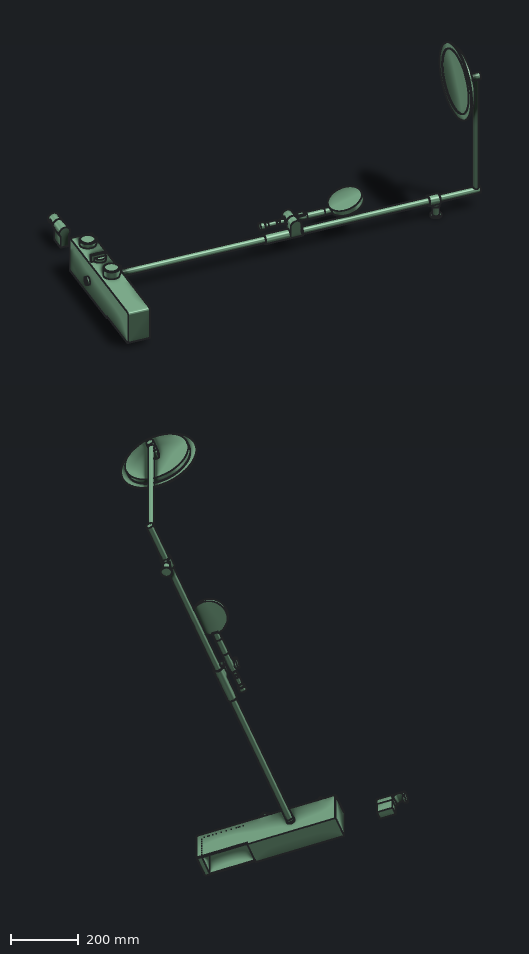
import cadquery as cq
import math


OVERALL_LENGTH = 1266.0

PIPE_DIA = 23.0
PIPE_END_Y = 1222.0
ARM_DIA = 18.0
ARM_Y = 1209.0
ELBOW_FRONT_Y = 1194.0

BRACKET_Y = 1074.0
BRACKET_LENGTH = 34.0
BRACKET_DIA = 33.0
POST_DIA = 20.0
POST_Y = 1081.0
FOOT_DIA = 34.0
FOOT_BOTTOM_Z = -57.0
FOOT_THICKNESS = 4.0
COLLAR_DIA = 23.0
COLLAR_BOTTOM_Z = -23.0

HEAD_Z = 401.0
HEAD_FLANGE_DIA = 238.0
HEAD_BODY_DIA = 200.0
HEAD_BACK_Y = 1163.0
HEAD_BODY_DEPTH = 16.0
HEAD_FLANGE_DEPTH = 4.0
HEAD_FACE_RECESS = 1.0
FLAT_WIDTH = 15.0
FLAT_END_Y = 1179.0

MIXER_LEFT_X = -142.0
MIXER_RIGHT_X = 300.0
MIXER_DEPTH = 72.0
MIXER_TOP_Z = 66.0
MIXER_BOTTOM_Z = -50.0
MIXER_CHAMFER = 3.0
MIXER_END_ROUND = 8.0
BAY_LEFT_X = 138.0
BAY_RIGHT_X = 282.0
BAY_TOP_Z = 50.0
BAY_WALL = 4.0
UNDERSIDE_LIFT = 6.0
OUTLET_END_Y = 50.0
OUTLET_FLANGE_DIA = 25.0
OUTLET_FLANGE_LENGTH = 5.0
INLET_DIA = 25.0
INLET_HOLE_DIA = 15.0

KNOB_X = 90.0
KNOB_DIA = 50.0
LEFT_KNOB_HEIGHT = 18.0
RIGHT_KNOB_HEIGHT = 27.0
KNOB_CHAMFER = 3.0
POINTER_TIP = 30.0
POINTER_BASE = 18.0
POINTER_HALF_WIDTH = 15.0
LEVER_HUB_DIA = 38.0
LEVER_HUB_HEIGHT = 11.0
LEVER_WIDTH = 8.0
LEVER_HEIGHT = 22.0
LEVER_BACK_Y = 18.0
LEVER_FRONT_Y = -29.0

BARREL_DIA = 35.0
CLIP_LENGTH = 38.0
CLIP_DIA = 34.0
CLIP_HOLE_DIA = 28.0
CLIP_HOLE_DROP = 8.0

SLEEVE_DIA = 30.0
SLEEVE_FRONT_Y = 529.0
SLEEVE_BACK_Y = 648.0
SLIDER_BARREL_Y = 625.0
SLIDER_BARREL_Z = 32.0

WALL_HOLDER_LEFT_X = -351.0
WALL_HOLDER_RIGHT_X = -263.0
WALL_HOLDER_Z = 1.0
WALL_BLOCK_WIDTH = 27.0

SPRAY_DIA = 106.0
SPRAY_THICKNESS = 20.0
SPRAY_TILT = 19.0
SPRAY_TOP_Y = 803.0
SPRAY_TOP_Z = 53.0
NECK_DIA = 22.0
NECK_BACK_Y = 765.0
HANDLE_DIA = 23.0
HANDLE_BACK_Y = 735.0
SPIGOT_FRONT_Y = 608.0
SPIGOT_DIA = 22.0
SPIGOT_BACK_Y = 679.0
BUTTON_FRONT_Y = 650.0
BUTTON_LENGTH = 23.0
BUTTON_WIDTH = 15.0
BUTTON_TOP_Z = 38.0
HOSE_TAIL_DIA = 15.0
HOSE_GROOVE_DIA = 10.0
HOSE_CONE_DIA = 16.0
GROOVE_BACK_Y = 592.0
GROOVE_FRONT_Y = 582.0
CONE_FRONT_Y = 556.0
NUT_BACK_Y = 544.0
NUT_DIA = 23.0


def cylinder_y(dia, y_start, y_end, x=0.0, z=0.0):
    """Cylinder along Y between two Y positions."""
    plane = cq.Plane(origin=(x, y_start, z), xDir=(1, 0, 0), normal=(0, 1, 0))
    return cq.Workplane(plane).circle(dia / 2).extrude(y_end - y_start)


def cylinder_x(dia, x_start, x_end, y, z):
    """Cylinder along X between two X positions."""
    return cq.Workplane("YZ", origin=(x_start, y, z)).circle(dia / 2).extrude(x_end - x_start)


def cylinder_z(dia, z_start, z_end, x=0.0, y=0.0):
    """Upright cylinder between two Z positions."""
    return cq.Workplane("XY", origin=(x, y, z_start)).circle(dia / 2).extrude(z_end - z_start)


def box(x_range, y_range, z_range):
    """Box given by its limits along each axis."""
    (x0, x1), (y0, y1), (z0, z1) = x_range, y_range, z_range
    return cq.Workplane("XY").box(x1 - x0, y1 - y0, z1 - z0, centered=False).translate((x0, y0, z0))


def mixer_block():
    """Block with a raised underside on the right and a bay open at the bottom behind thin walls."""
    half_depth = MIXER_DEPTH / 2
    block = box(
        (MIXER_LEFT_X, MIXER_RIGHT_X), (-half_depth, half_depth), (MIXER_BOTTOM_Z, MIXER_TOP_Z)
    )
    underside = box(
        (BAY_LEFT_X, MIXER_RIGHT_X),
        (-half_depth, half_depth),
        (MIXER_BOTTOM_Z, MIXER_BOTTOM_Z + UNDERSIDE_LIFT),
    )
    block = block.cut(underside).edges(">X and |Y").fillet(MIXER_END_ROUND)
    block = block.edges("(<X and (>Z or >Y)) or (>Y and >Z)").chamfer(MIXER_CHAMFER)

    bay_half_depth = half_depth - BAY_WALL
    bay = box(
        (BAY_LEFT_X, BAY_RIGHT_X), (-bay_half_depth, bay_half_depth), (MIXER_BOTTOM_Z, BAY_TOP_Z)
    )
    return block.cut(bay)


def knob(x, height):
    """Round knob with a pointer ridge toward the back."""
    top_z = MIXER_TOP_Z + height
    body = cylinder_z(KNOB_DIA, MIXER_TOP_Z, top_z, x).faces(">Z").chamfer(KNOB_CHAMFER)
    pointer = (
        cq.Workplane("XY", origin=(x, 0, MIXER_TOP_Z))
        .moveTo(-POINTER_HALF_WIDTH, POINTER_BASE)
        .lineTo(POINTER_HALF_WIDTH, POINTER_BASE)
        .lineTo(0, POINTER_TIP)
        .close()
        .extrude(height - KNOB_CHAMFER)
    )
    return body.union(pointer)


def lever():
    hub = cylinder_z(LEVER_HUB_DIA, MIXER_TOP_Z, MIXER_TOP_Z + LEVER_HUB_HEIGHT)
    bar = box(
        (-LEVER_WIDTH / 2, LEVER_WIDTH / 2),
        (LEVER_FRONT_Y, LEVER_BACK_Y),
        (MIXER_TOP_Z, MIXER_TOP_Z + LEVER_HEIGHT),
    )
    return hub.union(bar)


def make_mixer():
    back_y = MIXER_DEPTH / 2
    inlet_front_y = PIPE_END_Y - OVERALL_LENGTH
    mixer = mixer_block()
    mixer = mixer.union(knob(-KNOB_X, LEFT_KNOB_HEIGHT)).union(knob(KNOB_X, RIGHT_KNOB_HEIGHT))
    mixer = mixer.union(lever())
    mixer = mixer.union(cylinder_y(PIPE_DIA, back_y, OUTLET_END_Y))
    mixer = mixer.union(cylinder_y(OUTLET_FLANGE_DIA, back_y, back_y + OUTLET_FLANGE_LENGTH))
    mixer = mixer.union(cylinder_y(INLET_DIA, inlet_front_y, -back_y))
    return mixer.cut(cylinder_y(INLET_HOLE_DIA, inlet_front_y, -back_y))


def wall_bracket():
    half_length = BRACKET_LENGTH / 2
    bracket = cylinder_y(BRACKET_DIA, BRACKET_Y - half_length, BRACKET_Y + half_length)
    bracket = bracket.union(cylinder_z(POST_DIA, FOOT_BOTTOM_Z, 0, y=POST_Y))
    foot_top_z = FOOT_BOTTOM_Z + FOOT_THICKNESS
    bracket = bracket.union(cylinder_z(FOOT_DIA, FOOT_BOTTOM_Z, foot_top_z, y=POST_Y))
    return bracket.union(cylinder_z(COLLAR_DIA, COLLAR_BOTTOM_Z, 0, y=POST_Y))


def make_riser():
    pipe = cylinder_y(PIPE_DIA, OUTLET_END_Y, PIPE_END_Y)
    arm = cylinder_z(ARM_DIA, 0, HEAD_Z, y=ARM_Y)
    elbow = cylinder_y(PIPE_DIA, ELBOW_FRONT_Y, PIPE_END_Y, z=HEAD_Z)
    return pipe.union(arm).union(elbow).union(wall_bracket())


def make_overhead_shower():
    flange_back_y = HEAD_BACK_Y - HEAD_BODY_DEPTH
    face_y = flange_back_y - HEAD_FLANGE_DEPTH
    stem = cylinder_y(PIPE_DIA, HEAD_BACK_Y, ELBOW_FRONT_Y, z=HEAD_Z)
    half_flat = FLAT_WIDTH / 2
    flat_x = math.sqrt((PIPE_DIA / 2) ** 2 - half_flat**2)
    for x_range in [(-PIPE_DIA, -flat_x), (flat_x, PIPE_DIA)]:
        stem = stem.cut(
            box(x_range, (HEAD_BACK_Y, FLAT_END_Y), (HEAD_Z - half_flat, HEAD_Z + half_flat))
        )
    head = cylinder_y(HEAD_BODY_DIA, flange_back_y, HEAD_BACK_Y, z=HEAD_Z)
    head = head.union(cylinder_y(HEAD_FLANGE_DIA, face_y, flange_back_y, z=HEAD_Z)).union(stem)
    return head.cut(cylinder_y(HEAD_BODY_DIA, face_y, face_y + HEAD_FACE_RECESS, z=HEAD_Z))


def barrel_with_clip(left_x, right_x, y, z):
    """Barrel along X; its left end is a slimmer clip with a hole along Y that breaks out below."""
    clip_right_x = left_x + CLIP_LENGTH
    hole_x = left_x + CLIP_LENGTH / 2
    hole_z = z - CLIP_HOLE_DROP
    hole = cylinder_y(CLIP_HOLE_DIA, y - CLIP_DIA / 2, y + CLIP_DIA / 2, hole_x, hole_z)
    clip = cylinder_x(CLIP_DIA, left_x, clip_right_x, y, z).cut(hole)
    return clip.union(cylinder_x(BARREL_DIA, clip_right_x, right_x, y, z))


def make_slider():
    half_sleeve = SLEEVE_DIA / 2
    half_barrel = BARREL_DIA / 2
    saddle_y = (SLIDER_BARREL_Y - half_barrel, SLIDER_BARREL_Y + half_barrel)
    slider = barrel_with_clip(
        -half_sleeve - CLIP_LENGTH, half_sleeve, SLIDER_BARREL_Y, SLIDER_BARREL_Z
    )
    slider = slider.union(box((-half_sleeve, half_sleeve), saddle_y, (0, SLIDER_BARREL_Z)))
    slider = slider.union(cylinder_y(SLEEVE_DIA, SLEEVE_FRONT_Y, SLEEVE_BACK_Y))
    return slider.cut(cylinder_y(PIPE_DIA, SLEEVE_FRONT_Y, SLEEVE_BACK_Y))


def make_wall_holder():
    block_x = (WALL_HOLDER_LEFT_X + CLIP_LENGTH, WALL_HOLDER_RIGHT_X)
    half_width = WALL_BLOCK_WIDTH / 2
    holder = barrel_with_clip(WALL_HOLDER_LEFT_X, WALL_HOLDER_RIGHT_X, 0, WALL_HOLDER_Z)
    return holder.union(box(block_x, (-half_width, half_width), (MIXER_BOTTOM_Z, WALL_HOLDER_Z)))


def make_hand_shower():
    axis_x = -SLEEVE_DIA / 2 - CLIP_LENGTH / 2
    axis_z = SLIDER_BARREL_Z - CLIP_HOLE_DROP
    tilt = math.radians(SPRAY_TILT)
    spray_plane = cq.Plane(
        origin=(axis_x, SPRAY_TOP_Y, SPRAY_TOP_Z),
        xDir=(1, 0, 0),
        normal=(0, -math.sin(tilt), math.cos(tilt)),
    )
    hand_shower = cq.Workplane(spray_plane).circle(SPRAY_DIA / 2).extrude(-SPRAY_THICKNESS)

    sections = [
        (NECK_DIA, HANDLE_BACK_Y, NECK_BACK_Y),
        (HANDLE_DIA, SPIGOT_BACK_Y, HANDLE_BACK_Y),
        (SPIGOT_DIA, SPIGOT_FRONT_Y, SPIGOT_BACK_Y),
        (HOSE_TAIL_DIA, GROOVE_BACK_Y, SPIGOT_FRONT_Y),
        (HOSE_GROOVE_DIA, GROOVE_FRONT_Y, GROOVE_BACK_Y),
        (HOSE_CONE_DIA, CONE_FRONT_Y, GROOVE_FRONT_Y),
        (HOSE_TAIL_DIA, NUT_BACK_Y, CONE_FRONT_Y),
        (NUT_DIA, SLEEVE_FRONT_Y, NUT_BACK_Y),
    ]
    for dia, front_y, back_y in sections:
        hand_shower = hand_shower.union(cylinder_y(dia, front_y, back_y, axis_x, axis_z))

    button = box(
        (axis_x - BUTTON_WIDTH / 2, axis_x + BUTTON_WIDTH / 2),
        (BUTTON_FRONT_Y, BUTTON_FRONT_Y + BUTTON_LENGTH),
        (axis_z, BUTTON_TOP_Z),
    )
    return hand_shower.union(button)


mixer = make_mixer()
riser = make_riser()
overhead_shower = make_overhead_shower()
slider = make_slider()
hand_shower = make_hand_shower()
wall_holder = make_wall_holder()

result = cq.Compound.makeCompound(
    [
        mixer.val(),
        riser.val(),
        overhead_shower.val(),
        slider.val(),
        hand_shower.val(),
        wall_holder.val(),
    ]
)